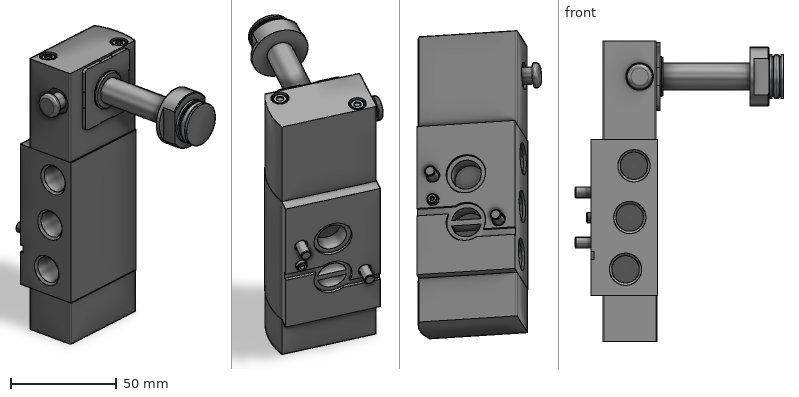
import cadquery as cq


TOTAL_HEIGHT = 143.0
CAP_TOP = 21.9
BODY_TOP = 96.1
BODY_LENGTH = 31.7
COVER_BACK = 5.7
HEAD_FACE = 31.0
CAP_FACE = 31.3
REAR_EDGE = 47.5
CROWN_TOP = 49.8
CORNER_RADIUS = 0.7

PORT_DIAMETER = 13.0
PORT_CHAMFER = 1.1
PORT_DEPTH = 17.2
PORT_PITCH = 24.6
PORT_SHIFT = 2.0
MIDDLE_PORT_X = 18.5
MIDDLE_PORT_Z = (CAP_TOP + BODY_TOP) / 2

OUTLET_DIAMETER = 14.5
OUTLET_DEPTH = 10.0
RECESS_DIAMETER = 19.0
RECESS_DEPTH = 1.5
OUTLET_Y = REAR_EDGE / 2
OUTLET_PITCH = 23.9
WEB_THICKNESS = 2.7
SLOT_WIDTH = 3.7
SLOT_OFFSET = 6.1

STUD_SPAN = 31.9
STUD_DIAMETER = 5.1
STUD_LENGTH = 7.6
STUD_GAP_DIAMETER = 6.5
GAP_DEPTH = 1.5
STOP_DIAMETER = 5.0
STOP_GAP_DIAMETER = 5.7
STOP_LENGTH = 2.0
STOP_SOCKET = 2.1
STUD_CHAMFER = 0.5

SCREW_PLACES = [(10.6, 8.0), (26.0, 41.6)]
COUNTERBORE_DIAMETER = 8.5
COUNTERBORE_DEPTH = 1.5
SCREW_HEAD_DIAMETER = 7.0
SCREW_HEAD_CHAMFER = 0.5
SCREW_HEAD_DROP = 0.5
SOCKET_DIAMETER = 3.5
SOCKET_DEPTH = 0.7

AXIS_Y = 25.0
AXIS_Z = 126.0

BUTTON_X = 23.2
BUTTON_WELL_DIAMETER = 13.0
BUTTON_WELL_DEPTH = 1.5
BUTTON_STEM_DIAMETER = 8.3
BUTTON_DIAMETER = 12.0
BUTTON_THICKNESS = 2.7
BUTTON_REACH = 7.6
BUTTON_ROUND = 1.9

PLATE_SIZE = 32.2
PLATE_FACE = 32.9
PLATE_CORNER = 2.0
PLATE_NOTCH_WIDTH = 8.5
PLATE_NOTCH_DEPTH = 0.3
COLLAR_DIAMETER = 19.0
COLLAR_FACE = 34.3
COLLAR_CHAMFER = 0.7
TUBE_DIAMETER = 13.0
NUT_START = 75.5
NUT_FLANGE_THICKNESS = 2.0
NUT_END = 84.5
NUT_DIAMETER = 28.0
NUT_ACROSS_FLATS = 22.0
NUT_CHAMFER = 0.5
NECK_DIAMETER = 19.0
NECK_END = 91.5
RIM_DIAMETER = 21.0
INNER_RIM_START = 84.8
INNER_RIM_WIDTH = 1.3
OUTER_RIM_WIDTH = 1.3
RING_X = 88.2
RING_RADIUS = 1.5


def disc_x(diameter, x_start, x_end, y, z):
    """Cylinder along X."""
    return cq.Workplane("YZ", origin=(x_start, y, z)).circle(diameter / 2).extrude(x_end - x_start)


def box(x_start, x_end, y_start, y_end, z_start, z_end):
    """Box between two opposite corners."""
    size = (x_end - x_start, y_end - y_start, z_end - z_start)
    return cq.Workplane("XY").box(*size, centered=False).translate((x_start, y_start, z_start))


def crowned_block(x_start, x_end, z_start, z_end):
    """Block whose rear wall is an arc from x_end to the cover back, and flat beyond it."""
    outline = (
        cq.Workplane("XY", origin=(0, 0, z_start))
        .moveTo(x_start, 0)
        .lineTo(x_end, 0)
        .lineTo(x_end, REAR_EDGE)
        .threePointArc(((COVER_BACK + x_end) / 2, CROWN_TOP), (COVER_BACK, REAR_EDGE))
    )
    if x_start < COVER_BACK:
        outline = outline.lineTo(x_start, REAR_EDGE)
    return outline.close().extrude(z_end - z_start)


def port(step):
    """Chamfered blind bore in the front face; step -1, 0 or 1 counts from the middle port."""
    mouth = cq.Plane(
        origin=(MIDDLE_PORT_X + step * PORT_SHIFT, 0, MIDDLE_PORT_Z + step * PORT_PITCH),
        xDir=(1, 0, 0),
        normal=(0, 1, 0),
    )
    bore = cq.Workplane(mouth).circle(PORT_DIAMETER / 2).extrude(PORT_DEPTH)
    lead_in = cq.Workplane(mouth).circle(PORT_DIAMETER / 2 + PORT_CHAMFER).extrude(PORT_CHAMFER, taper=45)
    return bore.union(lead_in)


def outlet(z):
    """Blind bore with a wider, shallow seal recess in the mounting face."""
    recess = disc_x(RECESS_DIAMETER, 0, RECESS_DEPTH, OUTLET_Y, z)
    return recess.union(disc_x(OUTLET_DIAMETER, 0, OUTLET_DEPTH, OUTLET_Y, z))


def vent_slot(y_start, y_end, z):
    """Shallow slot in the mounting face, centred on height z."""
    return box(0, RECESS_DEPTH, y_start, y_end, z - SLOT_WIDTH / 2, z + SLOT_WIDTH / 2)


def add_stud(body, diameter, gap_diameter, length, y, z):
    """Add a chamfered pin that stands out of the mounting face inside a clearance ring."""
    pin = disc_x(diameter, -length, GAP_DEPTH, y, z).faces("<X").chamfer(STUD_CHAMFER)
    return body.cut(disc_x(gap_diameter, 0, GAP_DEPTH, y, z)).union(pin)


def make_valve_body():
    upper_z = MIDDLE_PORT_Z + OUTLET_PITCH / 2
    lower_z = MIDDLE_PORT_Z - OUTLET_PITCH / 2
    front_stud_y = OUTLET_Y - STUD_SPAN / 2
    rear_stud_y = OUTLET_Y + STUD_SPAN / 2

    body = crowned_block(0, BODY_LENGTH, CAP_TOP, BODY_TOP)
    for step in (-1, 0, 1):
        body = body.cut(port(step))

    web = box(
        RECESS_DEPTH, OUTLET_DEPTH,
        OUTLET_Y - OUTLET_DIAMETER / 2, OUTLET_Y + OUTLET_DIAMETER / 2,
        lower_z - WEB_THICKNESS / 2, lower_z + WEB_THICKNESS / 2,
    )
    body = body.cut(outlet(upper_z)).cut(outlet(lower_z).cut(web))
    body = body.cut(vent_slot(OUTLET_Y, CROWN_TOP, lower_z + SLOT_OFFSET))
    body = body.cut(vent_slot(0, OUTLET_Y, lower_z - SLOT_OFFSET))

    for stud_y, stud_z in [(rear_stud_y, upper_z), (front_stud_y, lower_z)]:
        body = add_stud(body, STUD_DIAMETER, STUD_GAP_DIAMETER, STUD_LENGTH, stud_y, stud_z)
    body = add_stud(body, STOP_DIAMETER, STOP_GAP_DIAMETER, STOP_LENGTH, rear_stud_y, MIDDLE_PORT_Z)
    return body.cut(disc_x(STOP_SOCKET, -STOP_LENGTH, 0, rear_stud_y, MIDDLE_PORT_Z))


def screw_gap(x, y):
    """Space around and inside a sunk screw head in the top face."""
    floor_z = TOTAL_HEIGHT - COUNTERBORE_DEPTH
    head_top = TOTAL_HEIGHT - SCREW_HEAD_DROP
    floor = cq.Workplane("XY", origin=(x, y, floor_z))
    well = floor.circle(COUNTERBORE_DIAMETER / 2).extrude(COUNTERBORE_DEPTH)
    screw_head = (
        floor.circle(SCREW_HEAD_DIAMETER / 2)
        .extrude(head_top - floor_z)
        .faces(">Z")
        .chamfer(SCREW_HEAD_CHAMFER)
    )
    socket = cq.Workplane("XY", origin=(x, y, head_top)).circle(SOCKET_DIAMETER / 2).extrude(-SOCKET_DEPTH)
    return well.cut(screw_head).union(socket)


def button_disc(diameter, y_start, y_end):
    """Cylinder along Y on the button axis."""
    plane = cq.Workplane("XZ", origin=(BUTTON_X, y_start, AXIS_Z))
    return plane.circle(diameter / 2).extrude(y_start - y_end)


def make_pilot_head():
    head = crowned_block(COVER_BACK, HEAD_FACE, BODY_TOP, TOTAL_HEIGHT)
    head = head.edges("|Z and <Y").fillet(CORNER_RADIUS)
    for x, y in SCREW_PLACES:
        head = head.cut(screw_gap(x, y))

    knob = button_disc(BUTTON_DIAMETER, BUTTON_THICKNESS - BUTTON_REACH, -BUTTON_REACH)
    knob = knob.faces("<Y").edges().fillet(BUTTON_ROUND)
    head = head.cut(button_disc(BUTTON_WELL_DIAMETER, BUTTON_WELL_DEPTH, 0))
    head = head.union(button_disc(BUTTON_STEM_DIAMETER, BUTTON_WELL_DEPTH, BUTTON_THICKNESS - BUTTON_REACH))
    return head.union(knob)


def make_end_cap():
    cap = crowned_block(COVER_BACK, CAP_FACE, 0, CAP_TOP)
    return cap.edges("|Z and <Y").fillet(CORNER_RADIUS)


def axial_disc(diameter, x_start, x_end):
    """Cylinder on the armature axis."""
    return disc_x(diameter, x_start, x_end, AXIS_Y, AXIS_Z)


def armature_plate():
    """Square plate with rounded corners and a notch in the middle of each side."""
    thickness = PLATE_FACE - HEAD_FACE
    side = PLATE_SIZE / 2
    plate_plane = cq.Workplane("YZ", origin=(HEAD_FACE, AXIS_Y, AXIS_Z))
    plate = plate_plane.rect(PLATE_SIZE, PLATE_SIZE).extrude(thickness).edges("|X").fillet(PLATE_CORNER)
    notches = (
        plate_plane.pushPoints([(0, side), (0, -side)])
        .rect(PLATE_NOTCH_WIDTH, 2 * PLATE_NOTCH_DEPTH)
        .extrude(thickness)
        .union(
            plate_plane.pushPoints([(side, 0), (-side, 0)])
            .rect(2 * PLATE_NOTCH_DEPTH, PLATE_NOTCH_WIDTH)
            .extrude(thickness)
        )
    )
    return plate.cut(notches)


def end_nut():
    """Flanged nut with flats facing front and rear, and a ringed neck."""
    nut = axial_disc(NUT_DIAMETER, NUT_START, NUT_END).faces(">X").chamfer(NUT_CHAMFER)
    flats = box(
        NUT_START + NUT_FLANGE_THICKNESS, NUT_END,
        AXIS_Y - NUT_ACROSS_FLATS / 2, AXIS_Y + NUT_ACROSS_FLATS / 2,
        AXIS_Z - NUT_DIAMETER / 2, AXIS_Z + NUT_DIAMETER / 2,
    )
    flange = axial_disc(NUT_DIAMETER, NUT_START, NUT_START + NUT_FLANGE_THICKNESS)
    nut = nut.intersect(flats.union(flange))

    neck = axial_disc(NECK_DIAMETER, NUT_END, NECK_END)
    inner_rim = axial_disc(RIM_DIAMETER, INNER_RIM_START, INNER_RIM_START + INNER_RIM_WIDTH)
    outer_rim = axial_disc(RIM_DIAMETER, NECK_END - OUTER_RIM_WIDTH, NECK_END)
    sealing_ring = cq.Workplane(
        cq.Solid.makeTorus(
            RIM_DIAMETER / 2 - RING_RADIUS, RING_RADIUS, cq.Vector(RING_X, AXIS_Y, AXIS_Z), cq.Vector(1, 0, 0)
        )
    )
    return nut.union(neck).union(inner_rim).union(outer_rim).union(sealing_ring)


def make_armature():
    collar = axial_disc(COLLAR_DIAMETER, PLATE_FACE, COLLAR_FACE).faces(">X").chamfer(COLLAR_CHAMFER)
    tube = axial_disc(TUBE_DIAMETER, COLLAR_FACE, NUT_START)
    return armature_plate().union(collar).union(tube).union(end_nut())


valve_body = make_valve_body()
pilot_head = make_pilot_head()
end_cap = make_end_cap()
armature = make_armature()

result = cq.Compound.makeCompound([valve_body.val(), pilot_head.val(), end_cap.val(), armature.val()])